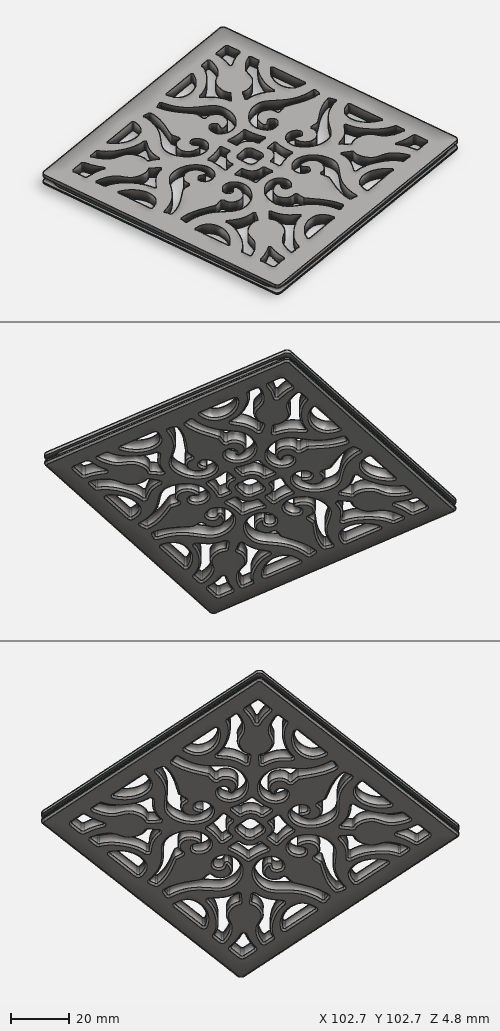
import cadquery as cq

plate_size = 102.7
plate_thickness = 4.8
plate_corner_radius = 1.6

flange_thickness = 1.3
lip_thickness = 1.3
groove_depth = 1.0
groove_corner_radius = 6.3
bottom_chamfer = 0.7

window_edge = 43.9
centre_hole_size = 7.6
centre_hole_radius = 2.1
tip_round = 0.5
corner_window_round = 0.8
hook_round = 0.8

half_moon_start = 9.2
half_moon_end = 24.5

fork_mouth_start = 29.6
fork_mouth_end = 33.8

scroll_end_inner = (2.0, 42.0)
scroll_end_outer = (4.9, 42.8)
scroll_notch_tip = (6.7, 24.6)
scroll_notch_top = (7.2, 28.8)

corner_tip = (34.8, 34.8)
corner_window_start = 37.6

petal_end = 1.8
petal_inner = 7.1
petal_outer = 11.6
petal_corner = 10.6
petal_inner_middle = 5.9


def rounded_square(size, height, corner_radius, bottom=0.0):
    """Square slab centred on the Z axis with rounded vertical edges."""
    slab = cq.Workplane("XY", origin=(0, 0, bottom)).rect(size, size).extrude(height)
    return slab.edges("|Z").fillet(corner_radius)


def plate():
    """Plate with a groove around its rim."""
    body = rounded_square(plate_size, plate_thickness, plate_corner_radius)
    groove_height = plate_thickness - flange_thickness - lip_thickness
    core_size = plate_size - 2 * groove_depth
    ring_size = plate_size + 2 * groove_depth
    ring = rounded_square(ring_size, groove_height, plate_corner_radius, lip_thickness)
    core = rounded_square(core_size, groove_height, groove_corner_radius, lip_thickness)
    return body.cut(ring.cut(core))


def start_outline(point):
    """Empty outline that begins at the given point."""
    return cq.Workplane("XY").moveTo(*point)


def prism(outline):
    """Through-cutting prism of a closed outline."""
    return outline.close().extrude(plate_thickness)


def half_moon():
    """Window with a straight side on the border and a bulge towards the centre."""
    start = (half_moon_start, window_edge)
    end = (half_moon_end, window_edge)
    bulge = [(9.6, 41.7), (11.0, 39.0), (15.0, 37.5), (18.5, 38.1), (21.9, 40.3), end]
    outline = start_outline(end).lineTo(*start).spline(bulge, includeCurrent=True)
    return prism(outline).edges("|Z").fillet(tip_round)


def forked_window():
    """Window that enters from the border and splits into two prongs."""
    start = (fork_mouth_start, window_edge)
    end = (fork_mouth_end, window_edge)
    long_prong_side = (23.7, 26.5)
    long_prong_tip = (19.9, 23.3)
    short_prong_tip = (14.7, 34.0)
    outer_flank = [(32.7, 40.4), (29.5, 36.5), (25.7, 34.6), (23.5, 31.5), (23.1, 28.3), long_prong_side]
    prong_gap = [(19.6, 26.2), (18.5, 29.3), (16.8, 31.5), short_prong_tip]
    inner_flank = [(19.5, 34.8), (24.1, 37.3), (27.5, 40.3), start]
    outline = start_outline(start).lineTo(*end)
    outline = outline.spline(outer_flank, includeCurrent=True).lineTo(*long_prong_tip)
    outline = outline.spline(prong_gap, includeCurrent=True)
    outline = outline.spline(inner_flank, includeCurrent=True)
    return prism(outline).edges("|Z").fillet(tip_round)


def scroll():
    """Slender window that curls round into a hook with a bulb at its end."""
    hook_tip = (5.3, 17.0)
    outer_sweep = [
        (5.3, 39.9), (8.0, 33.7), (11.8, 29.7), (15.1, 25.9), (15.4, 20.8), (12.5, 15.7),
        (7.6, 13.7), (3.5, 15.5), (3.1, 19.8), (5.7, 21.5), (7.3, 19.8), (6.9, 18.6), hook_tip,
    ]
    inner_sweep = [(8.0, 16.7), (11.1, 18.5), (11.9, 21.2), (10.3, 24.2), scroll_notch_tip]
    stem_flank = [(5.2, 32.2), (3.0, 36.9), scroll_end_inner]
    outline = start_outline(scroll_end_inner).lineTo(*scroll_end_outer)
    outline = outline.spline(outer_sweep, includeCurrent=True)
    outline = outline.spline(inner_sweep, includeCurrent=True)
    outline = outline.lineTo(*scroll_notch_top).spline(stem_flank, includeCurrent=True)
    window = prism(outline)
    middle_height = plate_thickness / 2
    for corner in [hook_tip, scroll_notch_tip, scroll_notch_top]:
        window = window.edges(cq.NearestToPointSelector((*corner, middle_height))).fillet(hook_round)
    for corner in [scroll_end_inner, scroll_end_outer]:
        window = window.edges(cq.NearestToPointSelector((*corner, middle_height))).fillet(tip_round)
    return window


def corner_window():
    """Kite in the plate's corner, symmetric about the diagonal."""
    flank_middle = (36.5, 38.3)
    outline = start_outline(corner_tip)
    outline = outline.spline([flank_middle, (corner_window_start, window_edge)], includeCurrent=True)
    outline = outline.lineTo(window_edge, window_edge).lineTo(window_edge, corner_window_start)
    outline = outline.spline([flank_middle[::-1], corner_tip], includeCurrent=True)
    kite = prism(outline).edges("|Z and (not <(1, 1, 0))").fillet(corner_window_round)
    return kite.edges("|Z").edges("<(1, 1, 0)").fillet(tip_round)


def centre_petal():
    """L-shaped window beside the centre hole, symmetric about the diagonal."""
    flank_middle = (10.7, 5.8)
    outer_corner = (petal_corner, petal_corner)
    outline = start_outline((petal_end, petal_inner))
    outline = outline.threePointArc((petal_inner_middle, petal_inner_middle), (petal_inner, petal_end))
    outline = outline.lineTo(petal_outer, petal_end)
    outline = outline.spline([flank_middle, outer_corner], includeCurrent=True)
    outline = outline.spline([flank_middle[::-1], (petal_end, petal_outer)], includeCurrent=True)
    return prism(outline).edges("|Z").fillet(tip_round)


def turned(body, angle):
    """Body turned about the plate's centre axis."""
    return body.rotate((0, 0, 0), (0, 0, 1), angle)


def quarter_windows():
    """Windows of one quarter of the plate; three of them also appear mirrored in the diagonal."""
    one_sided = [half_moon(), forked_window(), scroll()]
    mirrored = [turned(window.mirror("YZ"), -90) for window in one_sided]
    return one_sided + mirrored + [corner_window(), centre_petal()]


windows = rounded_square(centre_hole_size, plate_thickness, centre_hole_radius)
for window in quarter_windows():
    for quarter in range(4):
        windows = windows.add(turned(window, 90 * quarter))

result = plate()
for cutter in windows.vals():
    result = result.cut(cq.Workplane(cutter))

result = result.faces("<Z").edges().chamfer(bottom_chamfer).solids()